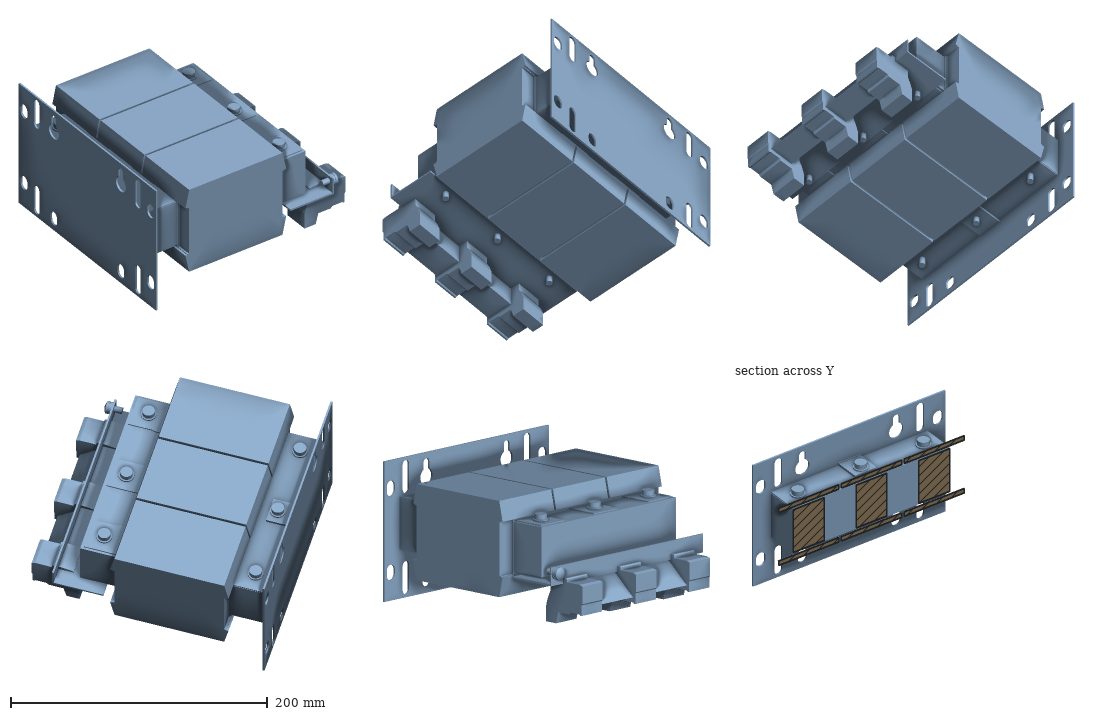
import cadquery as cq

PLATE_WIDTH = 185.0
PLATE_HEIGHT = 112.0
PLATE_THICKNESS = 1.5

CORE_Z = 4.3
CORE_HEIGHT = 40.0
LEG_WIDTH = 30.2
LEG_PITCH = 2 * LEG_WIDTH
CORE_WIDTH = 5 * LEG_WIDTH
CORE_LENGTH = 153.5
YOKE_DEPTH = 29.0
CORE_FRONT_Y = PLATE_THICKNESS
CORE_BACK_Y = CORE_FRONT_Y + CORE_LENGTH
CORE_MID_Y = (CORE_FRONT_Y + CORE_BACK_Y) / 2
CORE_TOP = CORE_Z + CORE_HEIGHT / 2
CORE_BOTTOM = CORE_Z - CORE_HEIGHT / 2
PHASE_X = (-LEG_PITCH, 0.0, LEG_PITCH)

SHEET = 1.0
SHEET_INSET = 0.3
SHEET_TOP = CORE_TOP + SHEET
SHEET_BOTTOM = CORE_BOTTOM - SHEET
TAB_WIDTH = 26.4
TAB_BACK_Y = 152.4
TAB_FLARE = 0.8
TAB_FLARE_BACK_Y = 131.7
TAB_CORNER_RADIUS = 1.0

WINDING_WIDTH = 58.4
WINDING_HEIGHT = 76.8
WINDING_LENGTH = 89.2
COLLAR_LENGTH = 96.2
COLLAR_HALF_HEIGHT = 22.2
LEDGE_HALF_HEIGHT = 21.5
LEDGE_DEPTH = 1.6
COLLAR_LIP = 0.2

FLANGE_LAYER = 0.9
FLANGE_STEP = 0.6

BOLT_INSET = 15.2
BOLT_DIAMETER = 5.2
BOLT_END_Z = -24.2
WASHER_DIAMETER = 12.2
WASHER_THICKNESS = 1.2
BOLT_HEAD_DIAMETER = 9.8
BOLT_HEAD_HEIGHT = 4.1

LUG_WIDTH = 21.0
LUG_LENGTH = 21.8
LUG_THICKNESS = 2.0
LUG_WELD = 0.8

BRACKET_WIDTH = 171.0
BRACKET_THICKNESS = 1.5
BRACKET_FRONT_Y = 133.2
BRACKET_BACK_Y = 174.9
BRACKET_TOP_Z = -3.3
BRACKET_SEAT_Z = SHEET_BOTTOM

SCREW_X = 79.9
SCREW_Z = -8.4
SCREW_DIAMETER = 5.2
SCREW_TIP_Y = 166.9
SCREW_HEAD_DIAMETER = 10.0
SCREW_WASHER_THICKNESS = 1.7
SCREW_NECK_DIAMETER = 9.2
SCREW_NECK_HEIGHT = 0.9
SCREW_RIM = 2.1
SCREW_DOME = 1.6

BLOCK_WIDTH = 23.0
BLOCK_BACK_Y = 195.42
BLOCK_BACK_CORNER_Y = 192.4
BLOCK_TOP_Z = -16.5
HOOK_TOP_Z = -13.6
HOOK_FRONT_Y = 171.9
CLAMP_BACK_Y = 169.6
BAR_BOTTOM_Z = -36.0


def box(x_range, y_range, z_range):
    """Box between the given limits along each axis."""
    size = [high - low for low, high in (x_range, y_range, z_range)]
    corner = (x_range[0], y_range[0], z_range[0])
    return cq.Workplane("XY").box(*size, centered=False).translate(corner)


def centred_box(x, width, y_range, z_range):
    """Box centred on x with the given width."""
    return box((x - width / 2, x + width / 2), y_range, z_range)


def side_profile(points, x, width):
    """Outline in the (Y, Z) plane extruded to a width centred on x."""
    return cq.Workplane("YZ", origin=(x, 0, 0)).polyline(points).close().extrude(width / 2, both=True)


def upright_rod(x, y, diameter, z_low, z_high):
    """Upright cylinder between two heights."""
    return cq.Workplane("XY", origin=(x, y, z_low)).circle(diameter / 2).extrude(z_high - z_low)


def plate_slot(x, z, width, length):
    """Cutter for an upright round-ended slot through the mounting plate."""
    face = cq.Workplane("XZ", origin=(x, 0, z))
    return face.slot2D(length, width, 90).extrude(-PLATE_THICKNESS)


def make_plate():
    plate = centred_box(0, PLATE_WIDTH, (0, PLATE_THICKNESS), (-PLATE_HEIGHT / 2, PLATE_HEIGHT / 2))
    short_length = 12.4
    edge_hole_x, edge_hole_z, edge_hole_width = 85.2, 33.5, 9.0
    long_slot_x, long_slot_z, long_slot_width, long_slot_length = 68.2, 40.3, 7.2, 26.4
    keyhole_x, keyhole_z, keyhole_diameter = 45.1, 36.7, 13.5
    neck_width, neck_top = 6.4, 51.3
    low_slot_z, low_slot_width = -44.9, 8.6
    neck_length = neck_top - keyhole_z
    for side in (-1, 1):
        for level in (-1, 1):
            edge_z, long_z = level * edge_hole_z, level * long_slot_z
            plate = plate.cut(plate_slot(side * edge_hole_x, edge_z, edge_hole_width, short_length))
            plate = plate.cut(plate_slot(side * long_slot_x, long_z, long_slot_width, long_slot_length))
        plate = plate.cut(plate_slot(side * keyhole_x, low_slot_z, low_slot_width, short_length))
        plate = plate.cut(plate_slot(side * keyhole_x, keyhole_z + neck_length / 2, neck_width, neck_length))
        entry = cq.Workplane("XZ", origin=(side * keyhole_x, 0, keyhole_z)).circle(keyhole_diameter / 2)
        plate = plate.cut(entry.extrude(-PLATE_THICKNESS))
    return plate


def make_tab(x):
    """Insulation tab on top of and below the back yoke; outer tabs flare towards the middle of the part."""
    z_range = (SHEET_BOTTOM, SHEET_TOP)
    tab = centred_box(x, TAB_WIDTH, (CORE_MID_Y, TAB_BACK_Y), z_range)
    if x == 0:
        return tab.edges("|Z and >Y").fillet(TAB_CORNER_RADIUS)
    inward = -1 if x > 0 else 1
    flare_y = (CORE_MID_Y, TAB_FLARE_BACK_Y)
    return tab.union(centred_box(x + inward * TAB_FLARE, TAB_WIDTH, flare_y, z_range))


def make_core():
    z_range = (CORE_BOTTOM, CORE_TOP)
    front_yoke_y = (CORE_FRONT_Y, CORE_FRONT_Y + YOKE_DEPTH)
    core = centred_box(0, CORE_WIDTH, front_yoke_y, z_range)
    core = core.union(centred_box(0, CORE_WIDTH - 2 * SHEET_INSET, front_yoke_y, (SHEET_BOTTOM, SHEET_TOP)))
    core = core.union(centred_box(0, CORE_WIDTH, (CORE_BACK_Y - YOKE_DEPTH, CORE_BACK_Y), z_range))
    for x in PHASE_X:
        core = core.union(centred_box(x, LEG_WIDTH, (CORE_FRONT_Y, CORE_BACK_Y), z_range))
        core = core.union(make_tab(x))
    return core


def make_winding(x):
    """Block around one leg; above and below the core its ends slope out into stepped collars."""
    half_length, half_collar = WINDING_LENGTH / 2, COLLAR_LENGTH / 2
    half_ledge = half_length + LEDGE_DEPTH
    y_range = (CORE_MID_Y - half_length, CORE_MID_Y + half_length)
    z_range = (CORE_Z - WINDING_HEIGHT / 2, CORE_Z + WINDING_HEIGHT / 2)
    winding = centred_box(x, WINDING_WIDTH, y_range, z_range)
    for level in (-1, 1):
        ledge_z = CORE_Z + level * LEDGE_HALF_HEIGHT
        inner_z = CORE_Z + level * COLLAR_HALF_HEIGHT
        lip_z = inner_z + level * COLLAR_LIP
        outer_z = CORE_Z + level * WINDING_HEIGHT / 2
        collar = [
            (CORE_MID_Y - half_collar, inner_z),
            (CORE_MID_Y - half_ledge, inner_z),
            (CORE_MID_Y - half_ledge, ledge_z),
            (CORE_MID_Y + half_ledge, ledge_z),
            (CORE_MID_Y + half_ledge, inner_z),
            (CORE_MID_Y + half_collar, inner_z),
            (CORE_MID_Y + half_collar, lip_z),
            (CORE_MID_Y + half_length, outer_z),
            (CORE_MID_Y - half_length, outer_z),
            (CORE_MID_Y - half_collar, lip_z),
        ]
        winding = winding.union(side_profile(collar, x, WINDING_WIDTH))
    return winding


def make_flanges():
    """Thin plates around the core, closing the ends of the windings; the outer layer is narrower."""
    start = CORE_MID_Y + WINDING_LENGTH / 2
    middle = start + FLANGE_LAYER
    z_range = (CORE_Z - LEDGE_HALF_HEIGHT, CORE_Z + LEDGE_HALF_HEIGHT)
    back = centred_box(0, CORE_WIDTH + 4 * FLANGE_STEP, (start, middle), z_range)
    back = back.union(centred_box(0, CORE_WIDTH + 2 * FLANGE_STEP, (middle, middle + FLANGE_LAYER), z_range))
    return back.union(back.mirror("XZ", (0, CORE_MID_Y, 0)))


def make_bolt(x, y, seat_z):
    head_z = seat_z + WASHER_THICKNESS
    bolt = upright_rod(x, y, BOLT_DIAMETER, BOLT_END_Z, seat_z)
    bolt = bolt.union(upright_rod(x, y, WASHER_DIAMETER, seat_z, head_z))
    return bolt.union(upright_rod(x, y, BOLT_HEAD_DIAMETER, head_z, head_z + BOLT_HEAD_HEIGHT))


def make_bolts():
    bolts = cq.Workplane("XY")
    for x in PHASE_X:
        front_seat = SHEET_TOP + LUG_THICKNESS if x == 0 else SHEET_TOP
        bolts = bolts.union(make_bolt(x, CORE_FRONT_Y + BOLT_INSET, front_seat))
        bolts = bolts.union(make_bolt(x, CORE_BACK_Y - BOLT_INSET, SHEET_TOP))
    return bolts


def make_lugs():
    y_range = (CORE_FRONT_Y, CORE_FRONT_Y + LUG_LENGTH)
    upper = centred_box(0, LUG_WIDTH, y_range, (SHEET_TOP, SHEET_TOP + LUG_THICKNESS))
    lugs = upper.union(upper.mirror("XY", (0, 0, CORE_Z)))
    weld_y = (CORE_FRONT_Y, CORE_FRONT_Y + LUG_WELD)
    weld_z = (SHEET_TOP, SHEET_TOP + LUG_THICKNESS + LUG_WELD)
    return lugs.union(centred_box(0, LUG_WIDTH, weld_y, weld_z))


def make_bracket():
    under_z = BRACKET_SEAT_Z - BRACKET_THICKNESS
    profile = [
        (BRACKET_FRONT_Y, under_z),
        (BRACKET_BACK_Y, under_z),
        (BRACKET_BACK_Y, BRACKET_TOP_Z),
        (BRACKET_BACK_Y - BRACKET_THICKNESS, BRACKET_TOP_Z),
        (BRACKET_BACK_Y - BRACKET_THICKNESS, BRACKET_SEAT_Z),
        (BRACKET_FRONT_Y, BRACKET_SEAT_Z),
    ]
    return side_profile(profile, 0, BRACKET_WIDTH)


def make_earth_screw():
    """Screw along Y, turned about its axis: shank, washer, neck and domed head."""
    shank_radius, head_radius = SCREW_DIAMETER / 2, SCREW_HEAD_DIAMETER / 2
    neck_radius = SCREW_NECK_DIAMETER / 2
    washer_y = BRACKET_BACK_Y + SCREW_WASHER_THICKNESS
    head_y = washer_y + SCREW_NECK_HEIGHT
    rim_y = head_y + SCREW_RIM
    dome_sphere = (head_radius**2 + SCREW_DOME**2) / (2 * SCREW_DOME)
    dome_mid_radius = head_radius / 2
    dome_mid_y = rim_y + SCREW_DOME - dome_sphere + (dome_sphere**2 - dome_mid_radius**2) ** 0.5
    profile = (
        cq.Workplane("XY")
        .moveTo(0, SCREW_TIP_Y)
        .lineTo(shank_radius, SCREW_TIP_Y)
        .lineTo(shank_radius, BRACKET_BACK_Y)
        .lineTo(head_radius, BRACKET_BACK_Y)
        .lineTo(head_radius, washer_y)
        .lineTo(neck_radius, washer_y)
        .lineTo(neck_radius, head_y)
        .lineTo(head_radius, head_y)
        .lineTo(head_radius, rim_y)
        .threePointArc((dome_mid_radius, dome_mid_y), (0, rim_y + SCREW_DOME))
        .close()
    )
    return profile.revolve(360, (0, 0, 0), (0, 1, 0)).translate((SCREW_X, 0, SCREW_Z))


def make_terminal_block(x):
    """Terminal housing whose two hooks grip the upright of the bracket."""
    profile = [
        (BLOCK_BACK_Y, -17.5),
        (BLOCK_BACK_CORNER_Y, BLOCK_TOP_Z),
        (178.8, BLOCK_TOP_Z),
        (178.8, -14.4),
        (178.0, HOOK_TOP_Z),
        (HOOK_FRONT_Y, HOOK_TOP_Z),
        (162.0, -15.2),
        (161.2, -15.8),
        (161.2, -25.6),
        (158.6, -31.0),
        (156.6, -37.0),
        (156.4, -41.0),
        (156.4, -51.0),
        (167.1, -51.0),
        (CLAMP_BACK_Y, -41.8),
        (181.6, -41.8),
        (183.0, -40.1),
        (BLOCK_BACK_CORNER_Y, -40.1),
        (193.4, -41.0),
        (194.8, -41.0),
        (194.8, -32.5),
        (BLOCK_BACK_Y, -31.5),
    ]
    return side_profile(profile, x, BLOCK_WIDTH)


def make_terminal_bar():
    """Sloping bar joining the terminal blocks below the bracket."""
    bar_top_z = BRACKET_SEAT_Z - BRACKET_THICKNESS
    profile = [
        (BLOCK_BACK_CORNER_Y, BAR_BOTTOM_Z),
        (HOOK_FRONT_Y, bar_top_z),
        (CLAMP_BACK_Y, bar_top_z),
        (CLAMP_BACK_Y, BAR_BOTTOM_Z),
    ]
    return side_profile(profile, 0, 2 * LEG_PITCH)


result = make_plate().union(make_core()).union(make_flanges())
for phase_x in PHASE_X:
    result = result.union(make_winding(phase_x))
result = result.union(make_lugs()).union(make_bolts()).union(make_bracket()).union(make_earth_screw())
for phase_x in PHASE_X:
    result = result.union(make_terminal_block(phase_x))
result = result.union(make_terminal_bar())